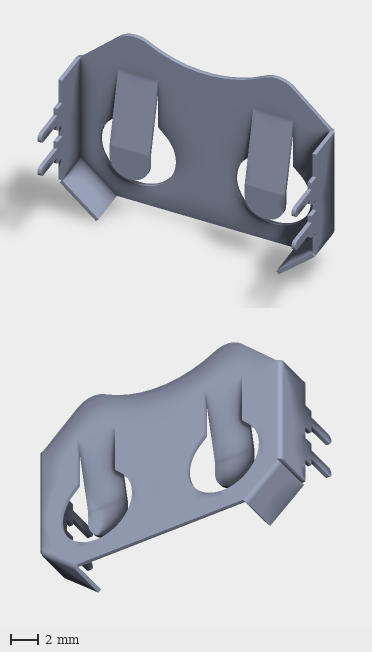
import cadquery as cq
import math


sheet = 0.32
fold_inner_radius = 0.05
fold_outer_radius = fold_inner_radius + sheet
body_width = 21.1
fold_line_x = body_width / 2 - fold_outer_radius
wall_depth = 3.42

wall_bottom_z = 2.6
wall_top_z = 11.85
bottom_half_width = 7.24
notch_bottom_z = 13.67
notch_radius = 9.5
peak_z = 15.23
peak_radius = 2.0

pin_spacing = 3.08
pin_width = 0.8
pin_tip_depth = 7.0
shoulder_width = 2.0
shoulder_depth = 4.22

finger_x = 5.53
finger_width = 3.25
finger_front_depth = 1.77
finger_root_radius = 1.03
finger_toe_radius = 0.6
toe_bend_z = 5.72
window_center_z = 4.75
window_radius = 3.1


def polar(center, radius, angle):
    """Point on a circle, angle in radians."""
    return (center[0] + radius * math.cos(angle), center[1] + radius * math.sin(angle))


def mirrored(point):
    return (-point[0], point[1])


def plate():
    """Flat sheet with a finger notch between two rounded peaks."""
    notch_center = (0, notch_bottom_z + notch_radius)
    peak_center_z = peak_z - peak_radius
    center_rise = notch_center[1] - peak_center_z
    peak_center = (math.sqrt((notch_radius + peak_radius) ** 2 - center_rise**2), peak_center_z)

    notch_end = polar(peak_center, peak_radius, math.atan2(center_rise, -peak_center[0]))

    corner = (fold_line_x, wall_top_z)
    to_corner = (corner[0] - peak_center[0], corner[1] - peak_center[1])
    corner_direction = math.atan2(to_corner[1], to_corner[0])
    tangent_turn = math.acos(peak_radius / math.hypot(*to_corner))
    slope_end = polar(peak_center, peak_radius, corner_direction + tangent_turn)
    peak_top = (peak_center[0], peak_z)

    return (
        cq.Workplane("XZ")
        .moveTo(-bottom_half_width, 0)
        .lineTo(bottom_half_width, 0)
        .lineTo(fold_line_x, wall_bottom_z)
        .lineTo(*corner)
        .lineTo(*slope_end)
        .threePointArc(peak_top, notch_end)
        .threePointArc((0, notch_bottom_z), mirrored(notch_end))
        .threePointArc(mirrored(peak_top), mirrored(slope_end))
        .lineTo(*mirrored(corner))
        .lineTo(-fold_line_x, wall_bottom_z)
        .close()
        .extrude(sheet)
    )


def folded_wall(start, end):
    """Wall folded toward -Y along a plate edge; the outside is right of start to end."""
    run_x = end[0] - start[0]
    run_z = end[1] - start[1]
    edge = cq.Plane(
        origin=(start[0], 0, start[1]),
        xDir=(run_z, 0, -run_x),
        normal=(run_x, 0, run_z),
    )
    bend_center = (0, -fold_outer_radius)
    outer_middle = polar(bend_center, fold_outer_radius, math.pi / 4)
    inner_middle = polar(bend_center, fold_inner_radius, math.pi / 4)
    return (
        cq.Workplane(edge)
        .moveTo(0, 0)
        .threePointArc(outer_middle, (fold_outer_radius, -fold_outer_radius))
        .lineTo(fold_outer_radius, -wall_depth)
        .lineTo(fold_inner_radius, -wall_depth)
        .lineTo(fold_inner_radius, -fold_outer_radius)
        .threePointArc(inner_middle, (0, -sheet))
        .close()
        .extrude(math.hypot(run_x, run_z))
    )


def pin(start_x, z):
    """Shouldered solder pin with a round tip, one sheet thick toward +X."""
    tip_center_depth = pin_tip_depth - pin_width / 2
    return (
        cq.Workplane("YZ", origin=(start_x, 0, z))
        .moveTo(-wall_depth, -shoulder_width / 2)
        .lineTo(-shoulder_depth, -shoulder_width / 2)
        .lineTo(-shoulder_depth, -pin_width / 2)
        .lineTo(-tip_center_depth, -pin_width / 2)
        .threePointArc((-pin_tip_depth, 0), (-tip_center_depth, pin_width / 2))
        .lineTo(-shoulder_depth, pin_width / 2)
        .lineTo(-shoulder_depth, shoulder_width / 2)
        .lineTo(-wall_depth, shoulder_width / 2)
        .close()
        .extrude(sheet)
    )


def window(x):
    """Keyhole: a slot as wide as the finger, flaring at 45 degrees into a round hole."""
    half_slot = finger_width / 2
    tangent_offset = window_radius * math.sqrt(0.5)
    flare_top_z = tangent_offset * 2 - half_slot
    return (
        cq.Workplane("XZ", origin=(x, 0, window_center_z))
        .moveTo(-half_slot, wall_top_z - window_center_z)
        .lineTo(-half_slot, flare_top_z)
        .lineTo(-tangent_offset, tangent_offset)
        .threePointArc((0, -window_radius), (tangent_offset, tangent_offset))
        .lineTo(half_slot, flare_top_z)
        .lineTo(half_slot, wall_top_z - window_center_z)
        .close()
        .extrude(sheet)
    )


def finger(x):
    """Spring finger that slopes forward from the plate to an upright round-ended toe."""
    tip_z = window_center_z - finger_width / 2
    root_center = (-sheet - finger_root_radius, wall_top_z)
    toe_center = (finger_toe_radius - finger_front_depth, toe_bend_z)

    gap_y = toe_center[0] - root_center[0]
    gap_z = root_center[1] - toe_center[1]
    slope = math.asin((finger_root_radius + finger_toe_radius) / math.hypot(gap_y, gap_z))
    slope -= math.atan2(gap_y, gap_z)

    root_back_radius = finger_root_radius + sheet
    toe_back_radius = finger_toe_radius - sheet
    toe_angle = math.pi - slope
    side = (
        cq.Workplane("YZ", origin=(x - finger_width / 2, 0, 0))
        .moveTo(-sheet, wall_top_z)
        .threePointArc(
            polar(root_center, finger_root_radius, -slope / 2),
            polar(root_center, finger_root_radius, -slope),
        )
        .lineTo(*polar(toe_center, finger_toe_radius, toe_angle))
        .threePointArc(
            polar(toe_center, finger_toe_radius, math.pi - slope / 2),
            (-finger_front_depth, toe_bend_z),
        )
        .lineTo(-finger_front_depth, tip_z)
        .lineTo(sheet - finger_front_depth, tip_z)
        .lineTo(sheet - finger_front_depth, toe_bend_z)
        .threePointArc(
            polar(toe_center, toe_back_radius, math.pi - slope / 2),
            polar(toe_center, toe_back_radius, toe_angle),
        )
        .lineTo(*polar(root_center, root_back_radius, -slope))
        .threePointArc(polar(root_center, root_back_radius, -slope / 2), (0, wall_top_z))
        .close()
        .extrude(finger_width)
    )
    outline = (
        cq.Workplane("XZ", origin=(x, 0, 0))
        .moveTo(-finger_width / 2, wall_top_z)
        .lineTo(-finger_width / 2, window_center_z)
        .threePointArc((0, tip_z), (finger_width / 2, window_center_z))
        .lineTo(finger_width / 2, wall_top_z)
        .close()
        .extrude(finger_front_depth)
    )
    return side.intersect(outline)


result = plate()
for x in (-finger_x, finger_x):
    result = result.cut(window(x)).union(finger(x))

wall_top = (fold_line_x, wall_top_z)
wall_bottom = (fold_line_x, wall_bottom_z)
flap_bottom = (bottom_half_width, 0)
for start, end in ((flap_bottom, wall_bottom), (wall_bottom, wall_top)):
    result = result.union(folded_wall(start, end))
    result = result.union(folded_wall(mirrored(end), mirrored(start)))

wall_middle_z = (wall_bottom_z + wall_top_z) / 2
for pin_x in (-body_width / 2, body_width / 2 - sheet):
    for pin_z in (wall_middle_z - pin_spacing / 2, wall_middle_z + pin_spacing / 2):
        result = result.union(pin(pin_x, pin_z))